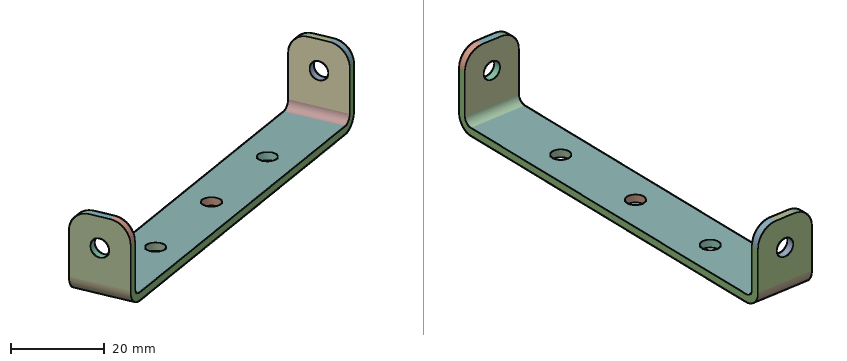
import cadquery as cq

width = 15.0
length = 100.0
height = 20.0
thickness = 2.0

inner_bend_radius = 2.0
outer_bend_radius = inner_bend_radius + thickness

ear_corner_radius = 5.0

hole_diameter = 4.5
base_hole_count = 3
base_hole_spacing = length / (base_hole_count + 1)
ear_hole_height = 12.5


def block(length_y, bottom, top):
    """Full-width block centred on X and Y, between two heights."""
    return (
        cq.Workplane("XY")
        .workplane(offset=bottom)
        .rect(width, length_y)
        .extrude(top - bottom)
    )


def make_strap():
    """Bent sheet: a rounded outer block minus a rounded inner block."""
    outer = block(length, 0, height).edges("|X and <Z").fillet(outer_bend_radius)
    inner = block(length - 2 * thickness, thickness, height)
    inner = inner.edges("|X and <Z").fillet(inner_bend_radius)
    return outer.cut(inner)


def round_ear_corners(strap):
    """Round the two upper corners of both ears."""
    return strap.faces(">Z").edges("|Y").fillet(ear_corner_radius)


def base_holes():
    """Row of vertical holes along the base."""
    return (
        cq.Workplane("XY")
        .rarray(1, base_hole_spacing, 1, base_hole_count)
        .circle(hole_diameter / 2)
        .extrude(thickness)
    )


def ear_holes():
    """One cylinder along Y that pierces both ears."""
    return (
        cq.Workplane("XZ")
        .center(0, ear_hole_height)
        .circle(hole_diameter / 2)
        .extrude(length / 2, both=True)
    )


strap = round_ear_corners(make_strap())
result = strap.cut(base_holes()).cut(ear_holes())